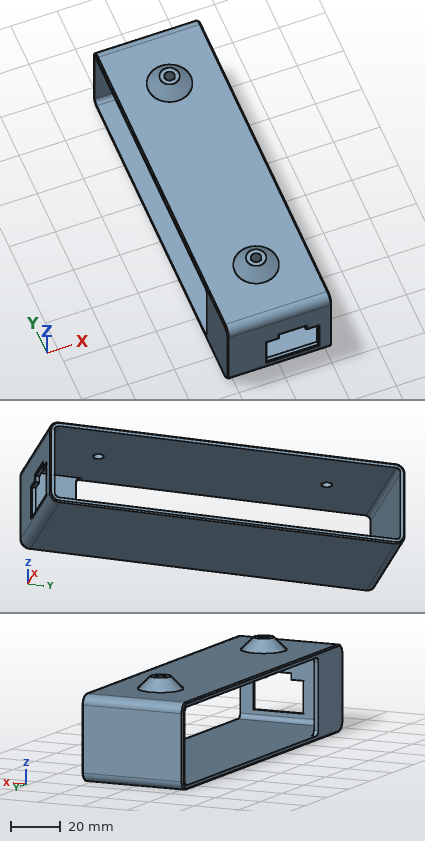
import cadquery as cq

width = 45.0
length = 148.0
total_height = 40.8
boss_height = 5.0
body_height = total_height - boss_height
wall = 1.9
corner_radius = 4.0
inner_radius = corner_radius - wall
rim_chamfer = 0.6

plate_end = 23.0

socket_center_x = 5.6
socket_width = 22.3
socket_bottom = 5.8
socket_height = 13.5
latch_width = 11.5
latch_height = 2.7
socket_chamfer = 0.5

boss_base_diameter = 18.4
boss_tip_diameter = 8.1
boss_hole_diameter = 4.3
boss_spacing = 95.2
boss_x = 0.1


def rounded_block(x_start, x_end, y_start, y_end, z_start, z_end, radius):
    """Block with its four X-direction edges rounded."""
    block = cq.Workplane("XY").box(
        x_end - x_start, y_end - y_start, z_end - z_start, centered=False
    )
    return block.edges("|X").fillet(radius).translate((x_start, y_start, z_start))


def make_shell():
    half_width = width / 2
    half_length = length / 2
    body = rounded_block(
        -half_width, half_width, -half_length, half_length, 0, body_height, corner_radius
    )
    body = body.faces("<X or >X").edges().chamfer(rim_chamfer)

    cavity = rounded_block(
        -half_width + wall, half_width, -half_length + wall, half_length - wall,
        wall, body_height - wall, inner_radius,
    )
    window = rounded_block(
        -half_width, half_width, -half_length + plate_end, half_length - wall,
        wall, body_height - wall, inner_radius,
    )
    return body.cut(cavity).cut(window)


def cut_socket(shell):
    """Cut the socket through the -Y wall and chamfer its outer rim."""
    for opening_width, opening_height in (
        (socket_width, socket_height),
        (latch_width, socket_height + latch_height),
    ):
        opening = cq.Workplane("XY").box(
            opening_width, wall, opening_height, centered=(True, False, False)
        )
        shell = shell.cut(opening.translate((socket_center_x, -length / 2, socket_bottom)))

    outer_face = shell.faces("<Y").val()
    rim = shell.newObject(outer_face.innerWires()[0].Edges())
    return rim.chamfer(socket_chamfer)


def make_boss(y):
    return cq.Workplane("XY").add(
        cq.Solid.makeCone(
            boss_base_diameter / 2, boss_tip_diameter / 2, boss_height,
            pnt=cq.Vector(boss_x, y, body_height),
        )
    )


def boss_hole(y):
    """Hole through the boss and the top wall."""
    return (
        cq.Workplane("XY", origin=(boss_x, y, body_height - wall))
        .circle(boss_hole_diameter / 2)
        .extrude(wall + boss_height)
    )


result = cut_socket(make_shell())
for side in (-1, 1):
    boss_y = side * boss_spacing / 2
    result = result.union(make_boss(boss_y)).cut(boss_hole(boss_y))